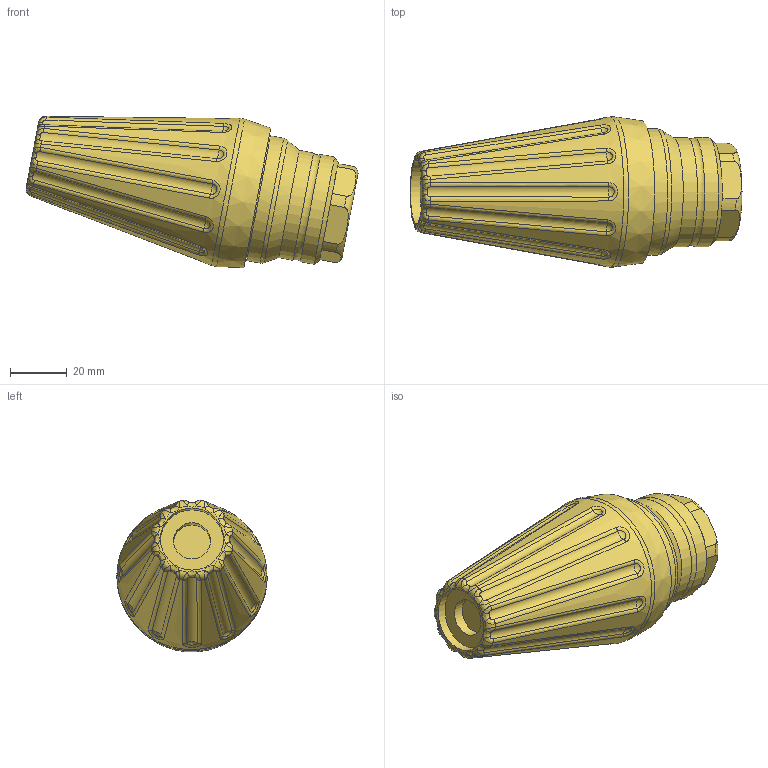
import cadquery as cq
import math

TILT = 10.8

FRONT_RADIUS = 14.3
GRIP_MAX_RADIUS = 26.65
GRIP_PEAK = 70.3
SKIRT_RADIUS = 25.2
SKIRT_END = 80.8
NOSE_FILLET = 2.75
PEAK_FILLET = 5.5

GROOVE_COUNT = 12
GROOVE_TOOL_RADIUS = 3.0
GROOVE_DEPTH = 1.2
GROOVE_END = 63.9
GROOVE_LEAD_IN = 5.0
GROOVE_EDGE_FILLET = 1.9

RECESS_DIAMETER = 22.3
RECESS_DEPTH = 3.5
BORE_DIAMETER = 13.0
BORE_DEPTH = 4.0

NECK_RADIUS = 43.4 / 2
NECK_LENGTH = 0.5
RING_RADIUS = 44.8 / 2
RING_END = 86.8
RING_FILLET = 3.0
COLLAR_RADIUS = 38.5 / 2
COLLAR_START = 92.2
RELIEF_START = 97.3
RELIEF_END = 99.9
RELIEF_DEPTH = 0.4
COLLAR_END = 106.5
COLLAR_CHAMFER = 1.6

HEX_SIDES = 6
HEX_ACROSS_FLATS = 32.0
HEX_TURNED_RADIUS = 34.8 / 2
HEX_TURN = -15.0
TOTAL_LENGTH = 114.1
HEX_END_FILLET = 2.5

CONE_ANGLE = math.atan2(GRIP_MAX_RADIUS - FRONT_RADIUS, GRIP_PEAK)
ALL_ROUND = 360


def revolve_profile(profile):
    """Turn a closed (station, radius) profile about the handle axis."""
    return profile.close().revolve(ALL_ROUND, (0, 0, 0), (1, 0, 0))


def circle_edges_at(radius, station):
    """Selector for a full circular edge around the handle axis."""
    margin = 1
    slack = 0.05
    reach = radius + margin
    return cq.selectors.BoxSelector(
        (station - slack, -reach, -reach), (station + slack, reach, reach), boundingbox=True
    )


def make_grip():
    profile = (
        cq.Workplane("XZ")
        .moveTo(0, 0)
        .lineTo(0, FRONT_RADIUS)
        .lineTo(GRIP_PEAK, GRIP_MAX_RADIUS)
        .lineTo(SKIRT_END, SKIRT_RADIUS)
        .lineTo(SKIRT_END, 0)
    )
    grip = revolve_profile(profile)
    grip = grip.edges(circle_edges_at(GRIP_MAX_RADIUS, GRIP_PEAK)).fillet(PEAK_FILLET)
    return grip.edges(circle_edges_at(FRONT_RADIUS, 0)).fillet(NOSE_FILLET)


def make_groove_tool():
    """Round-ended rod lying along the top of the cone, sunk by the groove depth."""
    lift = GROOVE_TOOL_RADIUS - GROOVE_DEPTH
    end_radius = FRONT_RADIUS + GROOVE_END * math.tan(CONE_ANGLE) + lift / math.cos(CONE_ANGLE)
    rod_length = (GROOVE_END + GROOVE_LEAD_IN) / math.cos(CONE_ANGLE)
    rod = cq.Workplane("YZ").circle(GROOVE_TOOL_RADIUS).extrude(-rod_length)
    tool = rod.union(cq.Workplane("XY").sphere(GROOVE_TOOL_RADIUS))
    tool = tool.rotate((0, 0, 0), (0, 1, 0), -math.degrees(CONE_ANGLE))
    return tool.translate((GROOVE_END, 0, end_radius))


def cut_grooves(grip):
    pitch = ALL_ROUND / GROOVE_COUNT
    grip = grip.rotate((0, 0, 0), (1, 0, 0), pitch / 2)
    tool = make_groove_tool()
    for index in range(GROOVE_COUNT):
        grip = grip.cut(tool.rotate((0, 0, 0), (1, 0, 0), index * pitch))
    groove_rims = grip.faces("%CYLINDER or %SPHERE").edges("%BSPLINE")
    return groove_rims.fillet(GROOVE_EDGE_FILLET)


def make_collar():
    ring_start = SKIRT_END + NECK_LENGTH
    profile = (
        cq.Workplane("XZ")
        .moveTo(SKIRT_END, 0)
        .lineTo(SKIRT_END, NECK_RADIUS)
        .lineTo(ring_start, NECK_RADIUS)
        .lineTo(ring_start, RING_RADIUS)
        .lineTo(RING_END, RING_RADIUS)
        .lineTo(COLLAR_START, COLLAR_RADIUS)
        .lineTo(RELIEF_START, COLLAR_RADIUS)
        .threePointArc(
            ((RELIEF_START + RELIEF_END) / 2, COLLAR_RADIUS - RELIEF_DEPTH),
            (RELIEF_END, COLLAR_RADIUS),
        )
        .lineTo(COLLAR_END - COLLAR_CHAMFER, COLLAR_RADIUS)
        .lineTo(COLLAR_END, COLLAR_RADIUS - COLLAR_CHAMFER)
        .lineTo(COLLAR_END, 0)
    )
    collar = revolve_profile(profile)
    return collar.edges(circle_edges_at(RING_RADIUS, RING_END)).fillet(RING_FILLET)


def make_hex_end():
    corner_diameter = HEX_ACROSS_FLATS / math.cos(math.pi / HEX_SIDES)
    length = TOTAL_LENGTH - COLLAR_END
    prism = (
        cq.Workplane("YZ", origin=(COLLAR_END, 0, 0))
        .polygon(HEX_SIDES, corner_diameter)
        .extrude(length)
        .rotate((0, 0, 0), (1, 0, 0), HEX_TURN)
    )
    turned = (
        cq.Workplane("YZ", origin=(COLLAR_END, 0, 0))
        .circle(HEX_TURNED_RADIUS)
        .extrude(length)
        .faces(">X")
        .edges()
        .fillet(HEX_END_FILLET)
    )
    return prism.intersect(turned)


def cut_front_recess(body):
    recess = cq.Workplane("YZ").circle(RECESS_DIAMETER / 2).extrude(RECESS_DEPTH)
    bore = cq.Workplane("YZ").circle(BORE_DIAMETER / 2).extrude(RECESS_DEPTH + BORE_DEPTH)
    return body.cut(recess).cut(bore)


handle = cut_grooves(make_grip()).union(make_collar()).union(make_hex_end())
result = cut_front_recess(handle).rotate((0, 0, 0), (0, 1, 0), TILT)